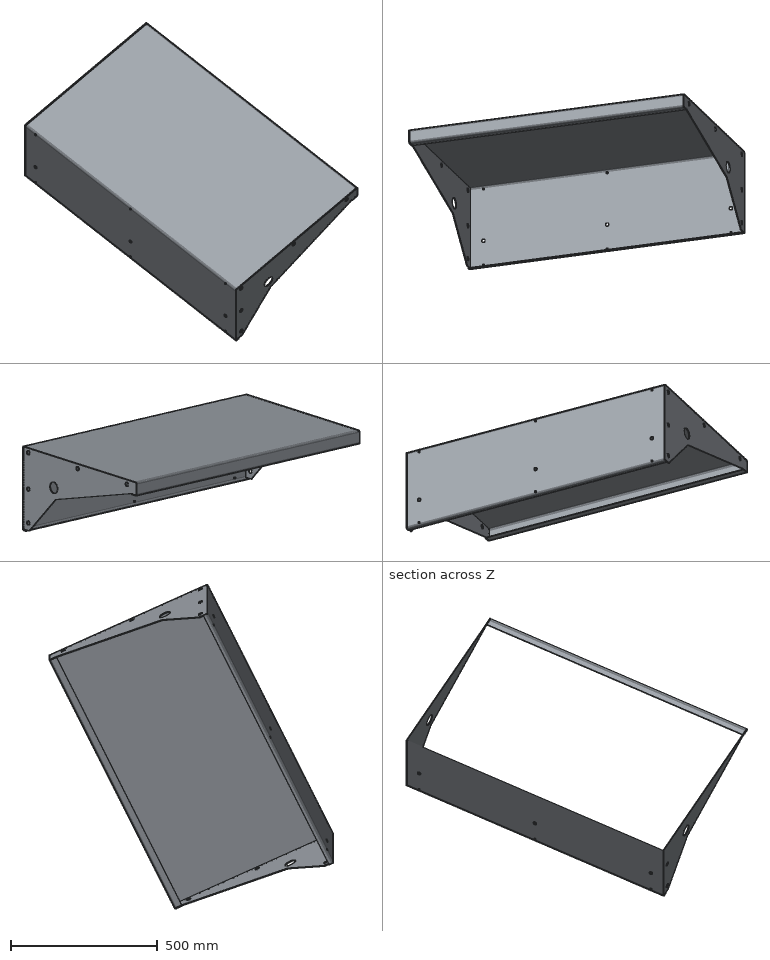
import cadquery as cq
LENGTH = 1000.0
DEPTH = 600.0
HEIGHT = 300.0

SHEET_THICKNESS = 3.0
OUTER_BEND_RADIUS = 6.0
INNER_BEND_RADIUS = OUTER_BEND_RADIUS - SHEET_THICKNESS
REAR_LIP_HEIGHT = 50.0
REAR_FLANGE_DEPTH = 28.0
FRONT_FLANGE_DEPTH = 17.0
REAR_FOOT = HEIGHT - REAR_LIP_HEIGHT

HOLE_COLUMN_INSET = 50.0
HOLE_COLUMNS = (HOLE_COLUMN_INSET, LENGTH / 2, LENGTH - HOLE_COLUMN_INSET)
MIDDLE_HOLE_DIAMETER = 12.0
MIDDLE_HOLE_HEIGHT = 100.0
EDGE_HOLE_DIAMETER = 7.0
EDGE_HOLE_INSET = 11.0

BRACKET_THICKNESS = 4.0
BRACKET_REAR_GAP = 1.0
BRACKET_TAIL = 569.0
BRACKET_KNEE = (172.0, 146.0)
BRACKET_TOE_GAP = 2.0
BRACKET_TOE = (35.0, 7.0)
FIXING_HOLE_DIAMETER = 15.0
FIXING_HOLE_FRONT = 28.0
FIXING_HOLE_REAR = 546.0
FIXING_HOLE_TOP = 281.0
FIXING_HOLE_CENTRES = (
    (FIXING_HOLE_FRONT, FIXING_HOLE_TOP),
    ((FIXING_HOLE_FRONT + FIXING_HOLE_REAR) / 2, FIXING_HOLE_TOP),
    (FIXING_HOLE_REAR, FIXING_HOLE_TOP),
    (FIXING_HOLE_FRONT, 152.0),
    (FIXING_HOLE_FRONT, 32.0),
)
CABLE_HOLE_DIAMETER = 40.0
CABLE_HOLE_CENTRE = (162.0, 186.0)

INSIDE_FRONT = SHEET_THICKNESS
INSIDE_REAR = DEPTH - SHEET_THICKNESS
INSIDE_TOP = HEIGHT - SHEET_THICKNESS
FRONT_FLANGE_TOP = SHEET_THICKNESS
REAR_FLANGE_TOP = REAR_FOOT + SHEET_THICKNESS


def round_corners(body, corners, radius):
    """Fillet the edges that run along X through the given (Y, Z) corners."""
    reach = SHEET_THICKNESS / 10
    for y, z in corners:
        corner_box = cq.selectors.BoxSelector(
            (-reach, y - reach, z - reach),
            (LENGTH + reach, y + reach, z + reach),
        )
        body = body.edges("|X").edges(corner_box).fillet(radius)
    return body


def make_folded_sheet():
    """Front panel, top and rear lip in one strip, with a flange folded inward at each foot."""
    rear_flange_end = DEPTH - REAR_FLANGE_DEPTH
    outer_corners = [(0, 0), (0, HEIGHT), (DEPTH, HEIGHT), (DEPTH, REAR_FOOT)]
    inner_corners = [
        (INSIDE_REAR, REAR_FLANGE_TOP),
        (INSIDE_REAR, INSIDE_TOP),
        (INSIDE_FRONT, INSIDE_TOP),
        (INSIDE_FRONT, FRONT_FLANGE_TOP),
    ]
    section = [
        (FRONT_FLANGE_DEPTH, 0),
        *outer_corners,
        (rear_flange_end, REAR_FOOT),
        (rear_flange_end, REAR_FLANGE_TOP),
        *inner_corners,
        (FRONT_FLANGE_DEPTH, FRONT_FLANGE_TOP),
    ]
    sheet = cq.Workplane("YZ").polyline(section).close().extrude(LENGTH)
    sheet = round_corners(sheet, outer_corners, OUTER_BEND_RADIUS)
    return round_corners(sheet, inner_corners, INNER_BEND_RADIUS)


def drill_panel_row(sheet, height, diameter):
    """Cut one row of holes through the front panel."""
    centres = [(x, height) for x in HOLE_COLUMNS]
    drills = cq.Workplane("XZ").pushPoints(centres).circle(diameter / 2).extrude(-SHEET_THICKNESS)
    return sheet.cut(drills)


def make_shelf():
    """Folded sheet with its three rows of panel holes."""
    shelf = make_folded_sheet()
    shelf = drill_panel_row(shelf, MIDDLE_HOLE_HEIGHT, MIDDLE_HOLE_DIAMETER)
    for height in (EDGE_HOLE_INSET, HEIGHT - EDGE_HOLE_INSET):
        shelf = drill_panel_row(shelf, height, EDGE_HOLE_DIAMETER)
    return shelf


def plate_plane(x_start):
    """Sketch plane on the face of an end plate at x_start."""
    return cq.Workplane("YZ", origin=(x_start, 0, 0))


def drill_plate(plate, x_start, centres, diameter):
    """Cut equal holes through an end plate at the given (Y, Z) centres."""
    drills = plate_plane(x_start).pushPoints(centres).circle(diameter / 2).extrude(BRACKET_THICKNESS)
    return plate.cut(drills)


def make_bracket(x_start):
    """Flat end plate that fits inside the folded sheet, from x_start toward +X."""
    rear = INSIDE_REAR - BRACKET_REAR_GAP
    toe_base = FRONT_FLANGE_TOP + BRACKET_TOE_GAP
    bend_corners = [
        (INSIDE_FRONT, toe_base),
        (INSIDE_FRONT, INSIDE_TOP),
        (rear, INSIDE_TOP),
        (rear, REAR_FLANGE_TOP),
    ]
    outline = [
        *bend_corners,
        (BRACKET_TAIL, REAR_FLANGE_TOP),
        BRACKET_KNEE,
        BRACKET_TOE,
        (BRACKET_TOE[0], toe_base),
    ]
    plate = plate_plane(x_start).polyline(outline).close().extrude(BRACKET_THICKNESS)
    plate = round_corners(plate, bend_corners, INNER_BEND_RADIUS)

    plate = drill_plate(plate, x_start, FIXING_HOLE_CENTRES, FIXING_HOLE_DIAMETER)
    return drill_plate(plate, x_start, [CABLE_HOLE_CENTRE], CABLE_HOLE_DIAMETER)


shelf = make_shelf()
brackets = [make_bracket(x_start) for x_start in (0, LENGTH - BRACKET_THICKNESS)]

result = cq.Compound.makeCompound([shelf.val(), *[bracket.val() for bracket in brackets]])